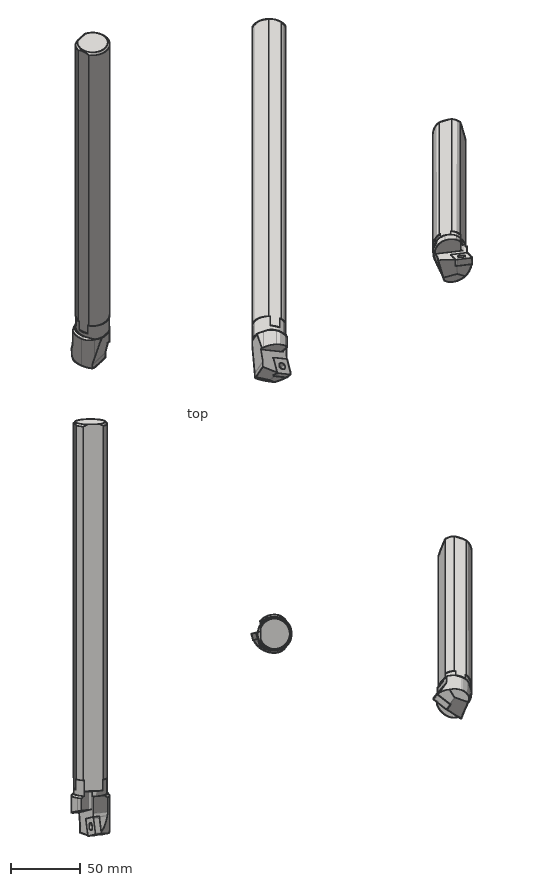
import cadquery as cq
import math

total_length = 304.2

insert_side = 12.8
insert_thickness = 5.0
insert_corner_radius = 1.0
insert_hole_diameter = 5.2
insert_angle = 16.0
rake_angle = 14.0
tip_offset = 17.0

shank_radius = 12.5
shank_chamfer = 1.5
side_flat_distance = 10.0
face_flat_distance = 11.5
shank_start = 38.5
flats_start = 30.7

neck_radius = 12.2
head_top = 27.0

head_half_height = 14.0
flank_radius = 17.0
flank_middle_angle = 225.0
lug_start_angle = 125.0
corner_radius = 9.7
corner_sweep = 57.0
back_arc_angle = 30.0
shoulder_chamfer = 1.5
shoulder_slope = 45.0
head_bottom = -3.0

cut_margin = 6.0
far = 4 * shank_radius

seat_overhang = 0.25
side_face_inset = 4.0
side_face_start = 15.0
ledge_height = 12.2
back_taper_top = 12.0
back_taper_bottom = 7.3
back_taper_height = 2.0
toe_depth = 6.0
toe_rise = 2.7

gullet_wall = -8.8
gullet_top = 30.5
gullet_fillet = 1.5
gullet_corner_height = 16.7

sin_insert = math.sin(math.radians(insert_angle))
cos_insert = math.cos(math.radians(insert_angle))
tan_insert = sin_insert / cos_insert

insert_lowest = (
    -(insert_side - insert_corner_radius) * sin_insert
    + insert_corner_radius * (cos_insert - 1)
)
shank_end = total_length + insert_lowest


def rake_plane():
    """Plane through the tip in the rake face; local x runs inward, local y up, normal into the bar."""
    angle = math.radians(rake_angle)
    inward = (math.cos(angle), math.sin(angle), 0)
    into_bar = (math.sin(angle), -math.cos(angle), 0)
    return cq.Workplane(cq.Plane((-tip_offset, 0, 0), inward, into_bar))


def insert_plane():
    """Rake plane turned to the insert edges, with its origin at the insert center."""
    middle = insert_side / 2
    return rake_plane().transformed(rotate=(0, 0, -insert_angle)).center(middle, middle)


def insert_blank():
    """Sharp square prism filling the insert seat."""
    return insert_plane().rect(insert_side, insert_side).extrude(insert_thickness)


def make_insert():
    """Square insert with rounded corners and a through hole."""
    hole = insert_plane().circle(insert_hole_diameter / 2).extrude(insert_thickness)
    corner_edges = cq.selectors.ParallelDirSelector(rake_plane().plane.zDir)
    return insert_blank().edges(corner_edges).fillet(insert_corner_radius).cut(hole)


def flats_block(start, end):
    """Block bounded by the -X, -Y and +Y flats."""
    length = shank_radius + side_flat_distance
    return (
        cq.Workplane("XY", origin=((shank_radius - side_flat_distance) / 2, 0, start))
        .rect(length, 2 * face_flat_distance)
        .extrude(end - start)
    )


def bar_section(radius, start, end):
    """Round stretch of the bar between two heights."""
    return cq.Workplane("XY", origin=(0, 0, start)).circle(radius).extrude(end - start)


def make_shank():
    """Shank with three flats that run out on the neck."""
    shank = bar_section(shank_radius, shank_start, shank_end).faces(">Z").chamfer(shank_chamfer)
    upper_neck = bar_section(neck_radius, flats_start, shank_start)
    lower_neck = bar_section(neck_radius, head_top - shoulder_chamfer, flats_start)
    return shank.union(upper_neck).intersect(flats_block(flats_start, shank_end)).union(lower_neck)


def polar(radius, angle, center_y=0.0):
    """Point at an angle on a circle centred on the Y axis."""
    turn = math.radians(angle)
    return (radius * math.cos(turn), center_y + radius * math.sin(turn))


def head_outline(height):
    """Closed outline of the head at a given height."""
    flank_center_y = flank_radius - head_half_height
    flank_middle_x, flank_middle_y = polar(flank_radius, flank_middle_angle, flank_center_y)
    corner_center_y = head_half_height - corner_radius
    arc_x, arc_y = polar(corner_radius, 90 - corner_sweep / 2, corner_center_y)
    corner_x, corner_y = polar(corner_radius, 90 - corner_sweep, corner_center_y)
    return (
        cq.Workplane("XY", origin=(0, 0, height))
        .moveTo(0, -head_half_height)
        .threePointArc((flank_middle_x, flank_middle_y), (-flank_radius, flank_center_y))
        .lineTo(*polar(head_half_height, lug_start_angle))
        .threePointArc(polar(head_half_height, (lug_start_angle + 90) / 2), (0, head_half_height))
        .threePointArc((arc_x, arc_y), (corner_x, corner_y))
        .lineTo(*polar(shank_radius, back_arc_angle))
        .threePointArc((shank_radius, 0), polar(shank_radius, -back_arc_angle))
        .lineTo(corner_x, -corner_y)
        .threePointArc((arc_x, -arc_y), (0, -head_half_height))
        .close()
    )


def head_blank():
    """Prism of the head outline, with a chamfered shoulder."""
    shoulder = head_top - shoulder_chamfer
    prism = head_outline(head_bottom).extrude(shoulder - head_bottom)
    return prism.union(head_outline(shoulder).extrude(shoulder_chamfer, taper=shoulder_slope))


def clearance_prism():
    """Side and end clearance faces, square to the rake face and set back from the insert edges."""
    corner_u = seat_overhang * (cos_insert + sin_insert)
    corner_z = seat_overhang * (cos_insert - sin_insert)
    toe_u = corner_u + (corner_z - head_bottom) / tan_insert
    return (
        rake_plane()
        .moveTo(side_face_inset, gullet_top)
        .lineTo(side_face_inset, side_face_start)
        .lineTo(corner_u + (ledge_height - corner_z) * tan_insert, ledge_height)
        .lineTo(corner_u, corner_z)
        .lineTo(toe_u, head_bottom)
        .lineTo(far, head_bottom)
        .lineTo(far, gullet_top)
        .close()
        .extrude(far, both=True)
    )


def back_taper():
    """Waste beyond the +X face, which leans inward toward the cutting end."""
    return (
        cq.Workplane("XZ")
        .moveTo(back_taper_top, head_top)
        .lineTo(back_taper_bottom, back_taper_height)
        .lineTo(back_taper_bottom, head_bottom)
        .lineTo(far, head_bottom)
        .lineTo(far, head_top)
        .close()
        .extrude(far, both=True)
    )


def toe_relief():
    """Wedge that lifts the -Y side of the bottom face."""
    return (
        cq.Workplane("YZ")
        .moveTo(-head_half_height + toe_depth, head_bottom)
        .lineTo(-head_half_height, head_bottom + toe_rise)
        .lineTo(-head_half_height - cut_margin, head_bottom + toe_rise)
        .lineTo(-head_half_height - cut_margin, head_bottom)
        .close()
        .extrude(far, both=True)
    )


def chip_gullet():
    """Open space over the rake face, ending at a side wall and at a wall along the insert's top edge."""
    wall_u = (gullet_wall + tip_offset) / math.cos(math.radians(rake_angle))
    gullet = (
        rake_plane()
        .moveTo(-cut_margin, head_bottom - cut_margin)
        .lineTo(-cut_margin, gullet_top)
        .lineTo(wall_u, gullet_top)
        .lineTo(wall_u, gullet_corner_height)
        .lineTo(far, gullet_corner_height - (far - wall_u) * tan_insert)
        .lineTo(far, head_bottom - cut_margin)
        .close()
        .extrude(-far)
    )
    wall_foot = cq.selectors.NearestToPointSelector(
        rake_plane().plane.toWorldCoords((wall_u, (gullet_top + gullet_corner_height) / 2, 0))
    )
    return gullet.edges(wall_foot).fillet(gullet_fillet)


def make_holder():
    """Shank and head in one piece, with the chip gullet and the insert seat cut out."""
    head = head_blank().intersect(clearance_prism()).cut(back_taper()).cut(toe_relief())
    return make_shank().union(head).cut(chip_gullet()).cut(insert_blank())


holder = make_holder()
insert = make_insert()

result = cq.Compound.makeCompound([holder.solids().val(), insert.solids().val()])